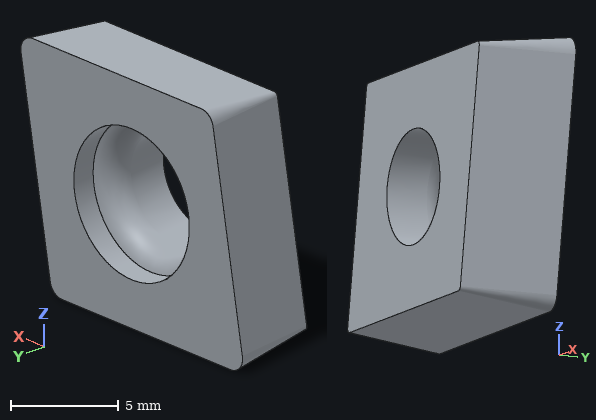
import cadquery as cq
import math

overall_length = 14.83
thickness = 4.76
corner_angle = 80.0
corner_radius = 0.8
clearance_angle = 7.0
hole_diameter = 5.5
bore_depth = 2.1
shoulder_radius = 1.44
recess_diameter = 7.71

acute_angle = math.radians(corner_angle)
length_per_height = 1 / math.sin(acute_angle) + 1 / math.tan(acute_angle)
half_height = corner_radius + (overall_length / 2 - corner_radius) / length_per_height
side_length = 2 * half_height / math.sin(acute_angle)
skew = half_height / math.tan(acute_angle)
small_face_y = -thickness / 2
large_face_y = thickness / 2


def tapered_body():
    """Rounded rhombus on the large face, narrowing towards the small face."""
    corners = [
        (-side_length / 2 - skew, -half_height),
        (side_length / 2 - skew, -half_height),
        (side_length / 2 + skew, half_height),
        (-side_length / 2 + skew, half_height),
    ]
    rhombus = cq.Sketch().polygon(corners + corners[:1]).vertices().fillet(corner_radius)
    return (
        cq.Workplane("XZ", origin=(0, large_face_y, 0))
        .placeSketch(rhombus)
        .extrude(thickness, taper=clearance_angle)
    )


def screw_hole():
    """Straight bore with a rounded shoulder opening into a wider straight recess."""
    bore_radius = hole_diameter / 2
    recess_radius = recess_diameter / 2
    bore_end_y = small_face_y + bore_depth
    sweep = math.acos(1 - (recess_radius - bore_radius) / shoulder_radius)
    shoulder_middle = (
        bore_radius + shoulder_radius * (1 - math.cos(sweep / 2)),
        bore_end_y + shoulder_radius * math.sin(sweep / 2),
    )
    shoulder_end = (recess_radius, bore_end_y + shoulder_radius * math.sin(sweep))
    return (
        cq.Workplane("XY")
        .moveTo(0, small_face_y)
        .lineTo(bore_radius, small_face_y)
        .lineTo(bore_radius, bore_end_y)
        .threePointArc(shoulder_middle, shoulder_end)
        .lineTo(recess_radius, large_face_y)
        .lineTo(0, large_face_y)
        .close()
        .revolve(360, (0, 0, 0), (0, 1, 0))
    )


result = tapered_body().cut(screw_hole())